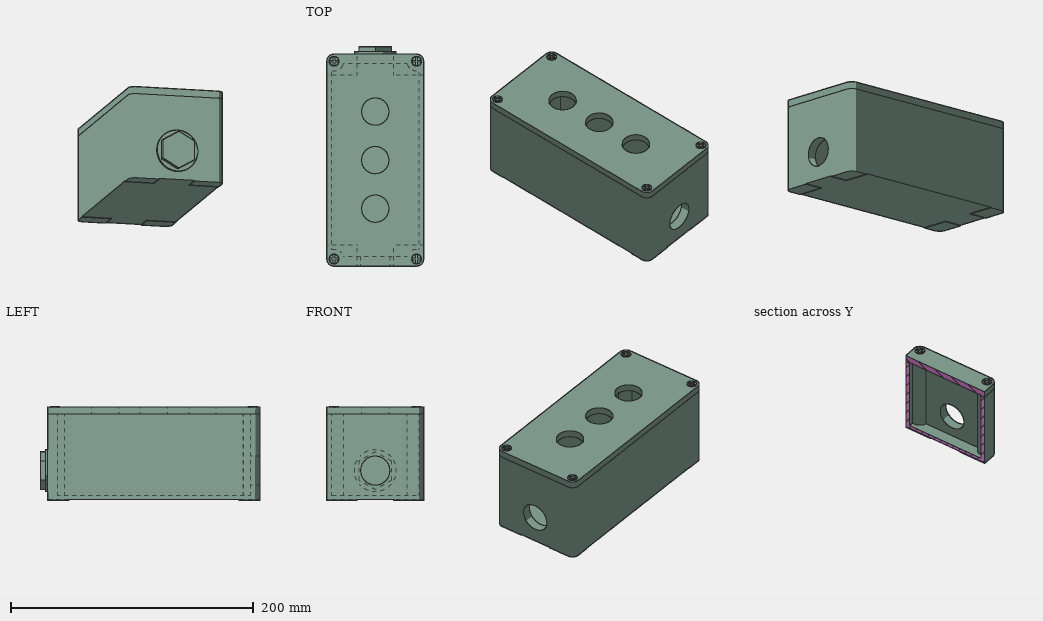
import cadquery as cq
import math

width = 80.0
length = 175.0
height = 77.0
lid_thickness = 6.0
base_height = height - lid_thickness
corner_radius = 6.0

side_wall = 4.0
end_wall = 8.0
floor_thickness = 4.0
cavity_width = width - 2 * side_wall
cavity_length = length - 2 * end_wall
cavity_height = base_height - floor_thickness

pillar_radius = 8.0
screw_spacing_x = width - 2 * corner_radius
screw_spacing_y = length - 2 * corner_radius

relief_width = 30.0
relief_length = 140.0
relief_depth = 0.5

entry_height = 24.5
entry_diameter = 24.0
plug_flange_diameter = 34.6
plug_flange_thickness = 2.0
plug_hex_across_flats = 27.0
plug_hex_thickness = 4.0

button_diameter = 22.5
button_pitch = 40.0
button_count = 3

screw_base_diameter = 8.2
screw_top_diameter = 7.6
screw_head_rise = 0.2
screw_slot_width = 1.6
screw_slot_length = 7.2
screw_slot_depth = 0.5


def rounded_block(z_bottom, block_height):
    """Block with the enclosure's outline and rounded upright corners."""
    block = cq.Workplane("XY").workplane(offset=z_bottom).rect(width, length).extrude(block_height)
    return block.edges("|Z").fillet(corner_radius)


def screw_corners(z):
    """Workplane at height z carrying the four lid screw positions."""
    plane = cq.Workplane("XY").workplane(offset=z)
    return plane.rect(screw_spacing_x, screw_spacing_y, forConstruction=True).vertices()


def make_cavity():
    """Open-topped inner space, with the corner pillars left standing."""
    floor_plane = cq.Workplane("XY").workplane(offset=floor_thickness)
    space = floor_plane.rect(cavity_width, cavity_length).extrude(cavity_height)
    return space.cut(screw_corners(floor_thickness).circle(pillar_radius).extrude(cavity_height))


def make_foot_relief():
    """Cross-shaped recess under the floor, running out through all four sides."""
    lengthwise = cq.Workplane("XY").rect(relief_width, length).extrude(relief_depth)
    crosswise = cq.Workplane("XY").rect(width, relief_length).extrude(relief_depth)
    return lengthwise.union(crosswise)


def make_cable_entry():
    """Round opening through the front end wall."""
    front_plane = cq.Workplane("XZ", origin=(0, -length / 2, entry_height))
    return front_plane.circle(entry_diameter / 2).extrude(-end_wall)


def make_plug():
    """Blanking plug with a round flange and a hexagon head, points up and down."""
    rear_plane = cq.Workplane("XZ", origin=(0, length / 2, entry_height))
    flange = rear_plane.circle(plug_flange_diameter / 2).extrude(-plug_flange_thickness)
    hex_diameter = plug_hex_across_flats / math.cos(math.pi / 6)
    hexagon = rear_plane.workplane(offset=-plug_flange_thickness).polygon(6, hex_diameter)
    head = hexagon.extrude(-plug_hex_thickness)
    return flange.union(head.rotate((0, 0, entry_height), (0, 1, entry_height), 90))


def make_base():
    """Box with cavity, feet and cable entry, carrying the blanking plug."""
    box = rounded_block(0, base_height)
    box = box.cut(make_cavity()).cut(make_foot_relief()).cut(make_cable_entry())
    return box.union(make_plug())


def make_screw_heads():
    """Low conical heads of the four lid screws."""
    edge_inset = (screw_base_diameter - screw_top_diameter) / 2
    taper_angle = math.degrees(math.atan2(edge_inset, screw_head_rise))
    return screw_corners(height).circle(screw_base_diameter / 2).extrude(screw_head_rise, taper=taper_angle)


def make_screw_slots():
    """Cross slots cut down through the screw heads."""
    head_top = height + screw_head_rise
    along_x = screw_corners(head_top).rect(screw_slot_length, screw_slot_width).extrude(-screw_slot_depth)
    along_y = screw_corners(head_top).rect(screw_slot_width, screw_slot_length).extrude(-screw_slot_depth)
    return along_x.union(along_y)


def make_lid():
    """Flat lid with a row of push-button openings and four screw heads."""
    plate = rounded_block(base_height, lid_thickness)
    buttons = cq.Workplane("XY").workplane(offset=base_height)
    buttons = buttons.rarray(1, button_pitch, 1, button_count).circle(button_diameter / 2)
    plate = plate.cut(buttons.extrude(lid_thickness))
    return plate.union(make_screw_heads()).cut(make_screw_slots())


base = make_base()
lid = make_lid()

result = cq.Compound.makeCompound([base.val(), lid.val()])